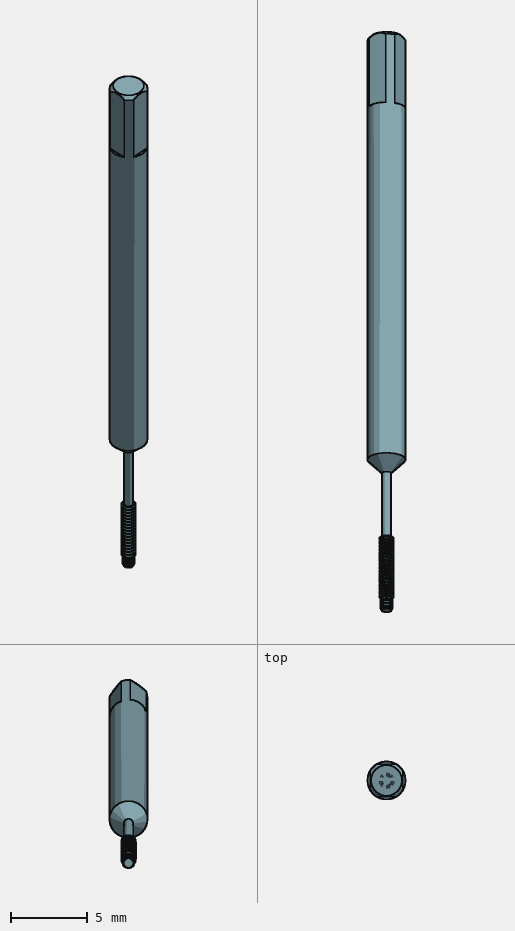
import cadquery as cq
import math

overall_length = 40

barrel_diameter = 2.5
barrel_radius = barrel_diameter / 2
drive_length = 5.0
drive_across_flats = 2.1
drive_flat_count = 4
drive_top_chamfer = 0.25
nose_top_z = 10.5

neck_radius = 0.3
root_radius = 0.365
thread_height = 0.125
crest_radius = root_radius + thread_height
flank_angle = math.radians(30)
first_crest_z = 1.0
last_crest_z = 5.0
full_crest_count = 17
pitch = (last_crest_z - first_crest_z) / (full_crest_count - 1)
crest_width = pitch / 8
lead_ridge_radius = 0.4
lead_ridge_count = 3
end_chamfer_height = 0.1
end_radius = 0.3

drive_base_z = overall_length - drive_length
nose_tip_z = nose_top_z - (barrel_radius - neck_radius)
root_top_z = last_crest_z + pitch / 2


def revolved(profile):
    """Turn a closed (radius, z) outline about the Z axis."""
    return cq.Workplane("YZ").polyline(profile).close().revolve(360, (0, 0, 0), (0, 1, 0))


def make_handle():
    """Turned handle with flats milled on its top end."""
    handle = revolved([
        (0, nose_tip_z),
        (neck_radius, nose_tip_z),
        (barrel_radius, nose_top_z),
        (barrel_radius, overall_length - drive_top_chamfer),
        (barrel_radius - drive_top_chamfer, overall_length),
        (0, overall_length),
    ])
    flat_cutter = cq.Workplane("XY").box(
        barrel_diameter, barrel_diameter, drive_length, centered=(False, True, False)
    ).translate((drive_across_flats / 2, 0, drive_base_z))
    for index in range(drive_flat_count):
        turn = index * 360 / drive_flat_count
        handle = handle.cut(flat_cutter.rotate((0, 0, 0), (0, 0, 1), turn))
    return handle


def ridge(crest_z, top_radius):
    """Outline of one thread ridge, from lower to upper root, cut off at top_radius."""
    half_crest = crest_width / 2 + (crest_radius - top_radius) * math.tan(flank_angle)
    half_base = crest_width / 2 + thread_height * math.tan(flank_angle)
    return [
        (root_radius, crest_z - half_base),
        (top_radius, crest_z - half_crest),
        (top_radius, crest_z + half_crest),
        (root_radius, crest_z + half_base),
    ]


def make_gauge_pin():
    """Neck, thread ridges and lead ridges turned in one outline."""
    outline = [(0, 0), (end_radius, 0), (root_radius, end_chamfer_height)]
    for index in range(-lead_ridge_count, full_crest_count):
        top_radius = lead_ridge_radius if index < 0 else crest_radius
        outline += ridge(first_crest_z + index * pitch, top_radius)
    outline += [
        (root_radius, root_top_z),
        (neck_radius, root_top_z),
        (neck_radius, nose_tip_z),
        (0, nose_tip_z),
    ]
    return revolved(outline)


handle = make_handle()
gauge_pin = make_gauge_pin()

result = cq.Compound.makeCompound([handle.val(), gauge_pin.val()])